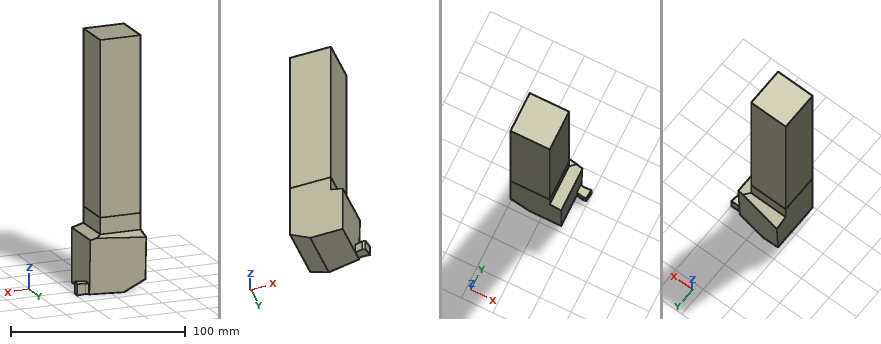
import cadquery as cq
import math

total_height = 151.0
shank_width = 25.0
shank_bottom = 44.8
head_bottom = 0.2
head_width = 32.3
head_depth = 33.4
shoulder_top = 34.9
shoulder_angle = 15.0
bevel_run = 12.4
bevel_angle = 30.0
back_taper_angle = 9.9
back_relief_angle = 2.5

tip_x = 39.4
rake_y = 25.0
seat_back_y = 25.5
seat_front_y = 20.2
groove_x = 34.5
groove_y = 24.9
keel_x = 36.8
keel_y = 19.3
heel_x = 38.7
heel_y = 19.6
insert_seat_bottom = 0.3
insert_seat_top = 6.5
insert_tip_top = 6.8

shoulder_slope = math.tan(math.radians(shoulder_angle))


def shoulder_height(distance):
    """Z of a shoulder at a given distance out from the shank face."""
    return shoulder_top - distance * shoulder_slope


def make_shank():
    return (
        cq.Workplane("XY", origin=(0, 0, shank_bottom))
        .rect(shank_width, shank_width, centered=False)
        .extrude(total_height - shank_bottom)
    )


def make_head():
    bevel_top = head_bottom + bevel_run * math.tan(math.radians(bevel_angle))
    front_outline = (
        cq.Workplane("XZ")
        .polyline([
            (bevel_run, head_bottom),
            (head_width, head_bottom),
            (head_width, shoulder_height(head_width - shank_width)),
            (shank_width, shoulder_top),
            (shank_width, shank_bottom),
            (0, shank_bottom),
            (0, bevel_top),
        ])
        .close()
        .extrude(-head_depth)
    )
    back_edge_z = shoulder_height(head_depth - shank_width)
    side_outline = (
        cq.Workplane("YZ")
        .polyline([
            (0, head_bottom),
            (head_depth, head_bottom),
            (head_depth, back_edge_z),
            (shank_width, shoulder_top),
            (shank_width, shank_bottom),
            (0, shank_bottom),
        ])
        .close()
        .extrude(head_width)
    )
    return front_outline.intersect(side_outline).cut(make_back_cutter(back_edge_z))


def make_back_cutter(back_edge_z):
    """Block whose inner face is the doubly inclined back face of the head."""
    taper = math.tan(math.radians(back_taper_angle))
    relief = math.tan(math.radians(back_relief_angle))
    back_plane = cq.Plane(
        origin=(0, head_depth, back_edge_z),
        xDir=(1, -taper, 0),
        normal=(taper, 1, -relief),
    )
    return cq.Workplane(back_plane).rect(total_height, total_height).extrude(head_depth)


def make_insert():
    profile = (
        cq.Workplane("XY")
        .polyline([
            (head_width, seat_front_y),
            (keel_x, keel_y),
            (heel_x, heel_y),
            (tip_x, rake_y),
            (groove_x, groove_y),
            (head_width, seat_back_y),
        ])
        .close()
        .extrude(insert_tip_top)
    )
    blade = (
        cq.Workplane("XZ")
        .polyline([
            (head_width, insert_seat_bottom),
            (tip_x, 0),
            (tip_x, insert_tip_top),
            (head_width, insert_seat_top),
        ])
        .close()
        .extrude(-head_depth)
    )
    return profile.intersect(blade)


shank = make_shank()
head = make_head()
insert = make_insert()

result = cq.Compound.makeCompound([shank.val(), head.solids().val(), insert.solids().val()])